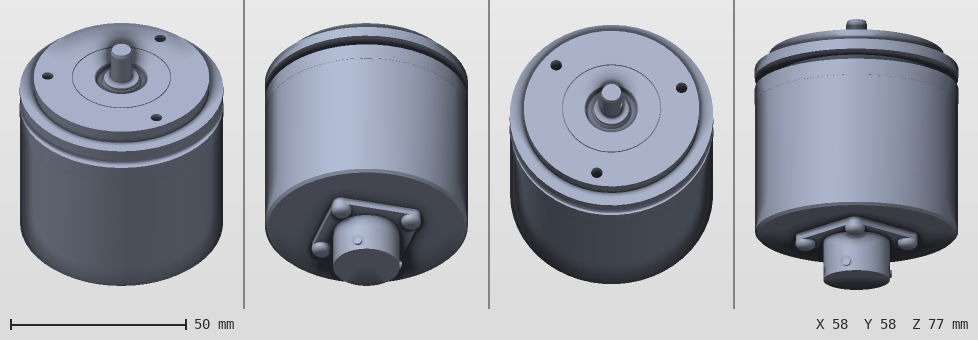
import cadquery as cq
import math

TOTAL_HEIGHT = 77.0
FACE_Z = 67.0
PILOT_BOTTOM_Z = 63.0
RIM_BOTTOM_Z = 60.0
COLLAR_TOP_Z = 57.0
HOUSING_TOP_Z = 52.3
HOUSING_BOTTOM_Z = 13.55
PLATE_BOTTOM_Z = 11.55

BODY_R = 58.0 / 2
PILOT_R = 50.0 / 2
CLAMP_GROOVE_R = 46.5 / 2
HOUSING_R = 57.8 / 2
HOUSING_CHAMFER = 0.8

SHAFT_R = 3.0
SHAFT_TIP_R = 2.7
SHAFT_TIP_LENGTH = 1.0
SHAFT_FILLET = 0.55
FLAT_DEPTH = 0.2
FLAT_LENGTH = 5.0
FLAT_TOP_GAP = 1.55

RECESS_TOP_R = 7.5
RECESS_FLOOR_R = 7.1
RECESS_DEPTH = 1.7
RECESS_RIM_CHAMFER = 0.2
RECESS_FOOT_CHAMFER = 0.2
RING_R = 5.0
RING_CHAMFER = 0.15
RING_STRAIGHT_DEPTH = 0.85
RING_FOOT_R = 5.7

SEAM_R = 14.2
SEAM_WIDTH = 0.3
SEAM_DEPTH = 0.4

HOLE_COUNT = 3
HOLE_R = 3.3 / 2
HOLE_CIRCLE_R = 21.0
HOLE_DEPTH = 10.0
DRILL_TIP_ANGLE = 118.0

CONNECTOR_R = 18.95 / 2
PLATE_SIDE = 25.9
PLATE_CORNER_R = 2.4
PLATE_TURN = -30.0
SCREW_COUNT = 4
SCREW_R = 2.85
SCREW_CIRCLE_R = 14.55
SCREW_RIM_HEIGHT = 0.6
SCREW_DOME = 1.7
SCREW_TIP_R = 1.5
PIN_COUNT = 3
PIN_R = 1.12
PIN_REACH = 10.2
PIN_Z = 2.55
PIN_FIRST_ANGLE = 30.0


def disc(radius, bottom, top):
    return cq.Workplane("XY").workplane(offset=bottom).circle(radius).extrude(top - bottom)


def revolve_profile(points):
    """Turn a closed (radius, height) outline around the Z axis."""
    return cq.Workplane("XZ").polyline(points).close().revolve(360, (0, 0, 0), (0, 1, 0))


def ring_of(solid, count, first_angle):
    """Repeat a solid evenly around the Z axis."""
    copies = cq.Workplane("XY")
    for i in range(count):
        angle = first_angle + i * 360 / count
        copies = copies.add(solid.rotate((0, 0, 0), (0, 0, 1), angle).vals())
    return copies.combine()


def make_body():
    housing = disc(HOUSING_R, HOUSING_BOTTOM_Z, HOUSING_TOP_Z).faces("<Z").chamfer(HOUSING_CHAMFER)
    collar = disc(BODY_R, HOUSING_TOP_Z, COLLAR_TOP_Z)
    clamp_groove = disc(CLAMP_GROOVE_R, COLLAR_TOP_Z, RIM_BOTTOM_Z)
    rim = disc(BODY_R, RIM_BOTTOM_Z, PILOT_BOTTOM_Z)
    pilot = disc(PILOT_R, PILOT_BOTTOM_Z, FACE_Z)
    return housing.union(collar).union(clamp_groove).union(rim).union(pilot)


def make_recess():
    floor_z = FACE_Z - RECESS_DEPTH
    return revolve_profile([
        (0, floor_z),
        (RECESS_FLOOR_R - RECESS_FOOT_CHAMFER, floor_z),
        (RECESS_FLOOR_R, floor_z + RECESS_FOOT_CHAMFER),
        (RECESS_TOP_R, FACE_Z - RECESS_RIM_CHAMFER),
        (RECESS_TOP_R + RECESS_RIM_CHAMFER, FACE_Z),
        (0, FACE_Z),
    ])


def make_seam():
    outer = disc(SEAM_R, FACE_Z - SEAM_DEPTH, FACE_Z)
    return outer.cut(disc(SEAM_R - SEAM_WIDTH, FACE_Z - SEAM_DEPTH, FACE_Z))


def make_mounting_holes():
    tip_length = HOLE_R / math.tan(math.radians(DRILL_TIP_ANGLE / 2))
    shoulder_z = FACE_Z - HOLE_DEPTH
    hole = revolve_profile([
        (0, shoulder_z - tip_length),
        (HOLE_R, shoulder_z),
        (HOLE_R, FACE_Z),
        (0, FACE_Z),
    ])
    return ring_of(hole.translate((HOLE_CIRCLE_R, 0, 0)), HOLE_COUNT, 0)


def make_shaft():
    floor_z = FACE_Z - RECESS_DEPTH
    profile = (
        cq.Workplane("XZ")
        .moveTo(0, floor_z)
        .lineTo(RING_FOOT_R, floor_z)
        .lineTo(RING_R, FACE_Z - RING_STRAIGHT_DEPTH)
        .lineTo(RING_R, FACE_Z - RING_CHAMFER)
        .lineTo(RING_R - RING_CHAMFER, FACE_Z)
        .lineTo(SHAFT_R + SHAFT_FILLET, FACE_Z)
        .radiusArc((SHAFT_R, FACE_Z + SHAFT_FILLET), SHAFT_FILLET)
        .lineTo(SHAFT_R, TOTAL_HEIGHT - SHAFT_TIP_LENGTH)
        .lineTo(SHAFT_TIP_R, TOTAL_HEIGHT)
        .lineTo(0, TOTAL_HEIGHT)
        .close()
    )
    shaft = profile.revolve(360, (0, 0, 0), (0, 1, 0))
    flat_cutter = cq.Workplane("XY").box(
        2 * SHAFT_R, SHAFT_R, FLAT_LENGTH, centered=(True, False, False)
    )
    flat_z = TOTAL_HEIGHT - FLAT_TOP_GAP - FLAT_LENGTH
    return shaft.cut(flat_cutter.translate((0, SHAFT_R - FLAT_DEPTH, flat_z)))


def make_connector():
    barrel = disc(CONNECTOR_R, 0, HOUSING_BOTTOM_Z)
    plate = (
        cq.Workplane("XY")
        .workplane(offset=PLATE_BOTTOM_Z)
        .rect(PLATE_SIDE, PLATE_SIDE)
        .extrude(HOUSING_BOTTOM_Z - PLATE_BOTTOM_Z)
        .edges("|Z")
        .fillet(PLATE_CORNER_R)
        .rotate((0, 0, 0), (0, 0, 1), PLATE_TURN)
    )
    rim_z = PLATE_BOTTOM_Z - SCREW_RIM_HEIGHT
    screw = (
        cq.Workplane("XZ")
        .moveTo(0, PLATE_BOTTOM_Z)
        .lineTo(SCREW_R, PLATE_BOTTOM_Z)
        .lineTo(SCREW_R, rim_z)
        .tangentArcPoint((SCREW_TIP_R, rim_z - SCREW_DOME), relative=False)
        .lineTo(0, rim_z - SCREW_DOME)
        .close()
        .revolve(360, (0, 0, 0), (0, 1, 0))
    )
    screws = ring_of(screw.translate((SCREW_CIRCLE_R, 0, 0)), SCREW_COUNT, PLATE_TURN + 45)
    pin = cq.Workplane("YZ").center(0, PIN_Z).circle(PIN_R).extrude(PIN_REACH)
    pins = ring_of(pin, PIN_COUNT, PIN_FIRST_ANGLE)
    return barrel.union(plate).union(screws).union(pins)


result = (
    make_body()
    .cut(make_recess())
    .cut(make_seam())
    .cut(make_mounting_holes())
    .union(make_shaft())
    .union(make_connector())
)